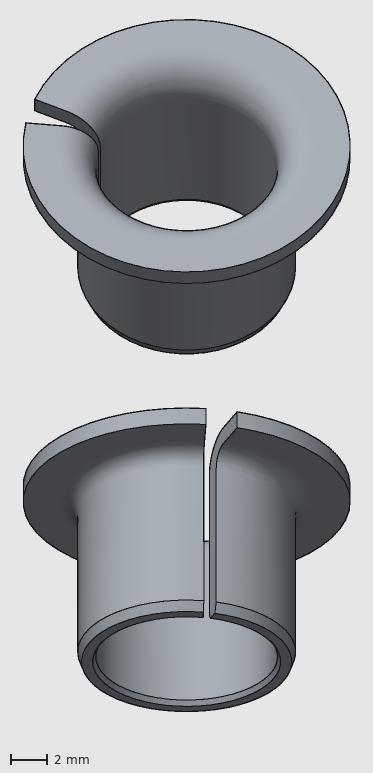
import cadquery as cq
import math

bore_diameter = 10.0
wall = 1.0
flange_diameter = 18.0
height = 11.0
outer_fillet = 1.0
chamfer_height = 0.6
chamfer_angle = 20.0
bore_chamfer_height = 0.3
bore_chamfer_angle = 30.0
gap_angle = 20.0
gap_apex_radius = 4.0
cut_clearance = 1.0

bore_radius = bore_diameter / 2
body_radius = bore_radius + wall
flange_radius = flange_diameter / 2
flange_bottom = height - wall
inner_fillet = outer_fillet + wall
bend_radius = body_radius + outer_fillet
bend_height = flange_bottom - outer_fillet
chamfer_width = chamfer_height * math.tan(math.radians(chamfer_angle))
bore_chamfer_width = bore_chamfer_height * math.tan(math.radians(bore_chamfer_angle))


def bend_point(radius):
    """Midpoint of a quarter arc about the bend centre, facing the bore and the flange top."""
    offset = radius * math.sqrt(0.5)
    return (bend_radius - offset, bend_height + offset)


def make_flanged_sleeve():
    """Constant-wall sleeve that bends outward into the flange, revolved about Z."""
    profile = (
        cq.Workplane("XZ")
        .moveTo(bore_radius, bore_chamfer_height)
        .lineTo(bore_radius + bore_chamfer_width, 0)
        .lineTo(body_radius - chamfer_width, 0)
        .lineTo(body_radius, chamfer_height)
        .lineTo(body_radius, bend_height)
        .threePointArc(bend_point(outer_fillet), (bend_radius, flange_bottom))
        .lineTo(flange_radius, flange_bottom)
        .lineTo(flange_radius, height)
        .lineTo(bend_radius, height)
        .threePointArc(bend_point(inner_fillet), (bore_radius, bend_height))
        .close()
    )
    sleeve = profile.revolve(360, (0, 0, 0), (0, 1, 0))
    return sleeve.rotate((0, 0, 0), (0, 0, 1), 180)


def make_split():
    """Wedge on the -X side that opens outward and cuts the full height."""
    slope = math.tan(math.radians(gap_angle / 2))
    outer_x = -flange_radius - cut_clearance
    outer_half_width = (-gap_apex_radius - outer_x) * slope
    return (
        cq.Workplane("XY")
        .moveTo(-gap_apex_radius, 0)
        .lineTo(outer_x, outer_half_width)
        .lineTo(outer_x, -outer_half_width)
        .close()
        .extrude(height)
    )


result = make_flanged_sleeve().cut(make_split())